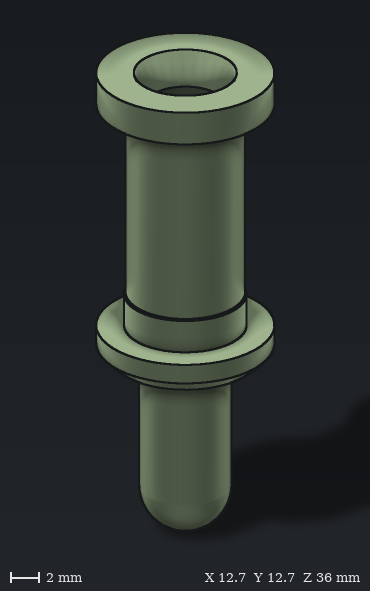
import cadquery as cq
import math

total_height = 36.0
head_rim_height = 2.52
head_cone_height = 0.58
flange_top = 16.0
flange_bottom = 13.5
flange_chamfer = 1.0
collar_height = 2.6

flange_radius = 12.67 / 2
sleeve_radius = 8.5 / 2
collar_radius = 8.7 / 2
pin_radius = 6.6 / 2

bore_radius = 5.47 / 2
countersink_radius = 7.3 / 2
countersink_depth = 2.5
bore_depth = 14.4
drill_point_angle = 118.0

head_bottom = total_height - head_rim_height
sleeve_top = head_bottom - head_cone_height
collar_top = flange_top + collar_height
collar_bevel = collar_radius - sleeve_radius


def make_body():
    """Solid of revolution with a hemispherical tip, two flanges and a sleeve."""
    dome_mid = pin_radius * math.sqrt(0.5)
    profile = (
        cq.Workplane("XZ")
        .moveTo(0, 0)
        .threePointArc((dome_mid, pin_radius - dome_mid), (pin_radius, pin_radius))
        .lineTo(pin_radius, flange_bottom)
        .lineTo(flange_radius - flange_chamfer, flange_bottom)
        .lineTo(flange_radius, flange_bottom + flange_chamfer)
        .lineTo(flange_radius, flange_top)
        .lineTo(collar_radius, flange_top)
        .lineTo(collar_radius, collar_top - collar_bevel)
        .lineTo(sleeve_radius, collar_top)
        .lineTo(sleeve_radius, sleeve_top)
        .lineTo(flange_radius, head_bottom)
        .lineTo(flange_radius, total_height)
        .lineTo(0, total_height)
        .close()
    )
    return profile.revolve(360, (0, 0, 0), (0, 1, 0))


def make_bore():
    """Countersink, straight bore and conical drill point."""
    point_depth = bore_radius / math.tan(math.radians(drill_point_angle / 2))
    bore_floor = total_height - bore_depth
    profile = (
        cq.Workplane("XZ")
        .moveTo(0, total_height)
        .lineTo(countersink_radius, total_height)
        .lineTo(bore_radius, total_height - countersink_depth)
        .lineTo(bore_radius, bore_floor)
        .lineTo(0, bore_floor - point_depth)
        .close()
    )
    return profile.revolve(360, (0, 0, 0), (0, 1, 0))


result = make_body().cut(make_bore())